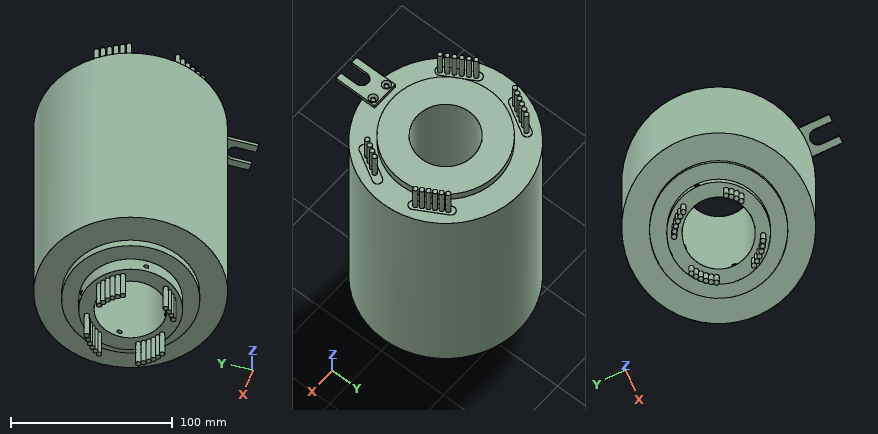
import cadquery as cq
import math

wire_top = 217.0
hub_bottom = 19.7
flange_bottom = 29.7
flange_top = 35.2
body_bottom = 36.5
body_top = 197.3
collar_top = 203.3

body_diameter = 120.0
body_radius = body_diameter / 2
collar_radius = 42.5
flange_radius = 42.7
neck_radius = 35.2
hub_radius = 32.1
bore_radius = 22.5

hub_hole_diameter = 3.0
hub_hole_height = 24.3

plate_width = 20.0
plate_back = -48.8
overall_depth = 140.0
plate_front = body_radius - overall_depth
plate_thickness = 2.8
fork_width = 10.0
fork_end = -62.5

screw_spacing = 12.8
screw_y = -53.0
sink_diameter = 6.3
sink_depth = 1.5
screw_hole_diameter = 3.3
screw_hole_depth = 0.9
drill_point_slope = 30

wire_diameter = 3.3
wire_overlap = 2.2
exit_radius = 49.3
exit_width = 6.5
exit_length = 30.2
exit_depth = 0.2
upper_rows = [
    (30, 6, 4.1, -0.2),
    (150, 6, 4.1, -0.5),
    (210, 6, 4.5, 0.7),
    (330, 4, 4.3, 0.2),
]

lower_wire_radius = 27.5
lower_wire_step = 7.0
lower_groups = [(45, 6), (135, 6), (225, 4), (315, 6)]


def disc(radius, bottom, top):
    return cq.Workplane("XY").workplane(offset=bottom).circle(radius).extrude(top - bottom)


def centred_steps(count, pitch):
    return [(i - (count - 1) / 2) * pitch for i in range(count)]


def wire(x, y, bottom, top):
    return disc(wire_diameter / 2, bottom, top).translate((x, y, 0))


def turned_parts():
    parts = disc(body_radius, body_bottom, body_top)
    parts = parts.union(disc(collar_radius, body_top, collar_top))
    parts = parts.union(disc(neck_radius, flange_top, body_bottom))
    parts = parts.union(disc(flange_radius, flange_bottom, flange_top))
    parts = parts.union(disc(hub_radius, hub_bottom, flange_bottom))
    return parts.cut(disc(bore_radius, hub_bottom, collar_top))


def hub_holes():
    """Two crossing drills give four radial holes in the hub wall."""
    along_y = (
        cq.Workplane("XZ")
        .center(0, hub_hole_height)
        .circle(hub_hole_diameter / 2)
        .extrude(hub_radius, both=True)
    )
    return along_y.union(along_y.rotate((0, 0, 0), (0, 0, 1), 90))


def fork_plate():
    plate_length = plate_back - plate_front
    plate = (
        cq.Workplane("XY")
        .workplane(offset=body_top)
        .center(0, (plate_back + plate_front) / 2)
        .rect(plate_width, plate_length)
        .extrude(plate_thickness)
    )
    fork_radius = fork_width / 2
    gap = (
        cq.Workplane("XY")
        .workplane(offset=body_top)
        .moveTo(-fork_radius, plate_front)
        .lineTo(-fork_radius, fork_end - fork_radius)
        .threePointArc((0, fork_end), (fork_radius, fork_end - fork_radius))
        .lineTo(fork_radius, plate_front)
        .close()
        .extrude(plate_thickness)
    )
    return plate.cut(gap)


def screw_hole(x):
    """Blind countersunk hole ending in a drill point."""
    hole_radius = screw_hole_diameter / 2
    sink_bottom = -sink_depth
    hole_bottom = sink_bottom - screw_hole_depth
    tip = hole_bottom - hole_radius * math.tan(math.radians(drill_point_slope))
    return (
        cq.Workplane("XZ")
        .moveTo(0, 0)
        .lineTo(sink_diameter / 2, 0)
        .lineTo(hole_radius, sink_bottom)
        .lineTo(hole_radius, hole_bottom)
        .lineTo(0, tip)
        .close()
        .revolve()
        .translate((x, screw_y, body_top + plate_thickness))
    )


def wire_exit(angle):
    return (
        cq.Workplane("XY")
        .workplane(offset=body_top - exit_depth)
        .center(exit_radius, 0)
        .slot2D(exit_length, exit_width, 90)
        .extrude(exit_depth)
        .rotate((0, 0, 0), (0, 0, 1), angle)
    )


def upper_row(angle, count, pitch, shift):
    row = cq.Workplane("XY")
    for step in centred_steps(count, pitch):
        row = row.union(wire(exit_radius, step + shift, body_top - wire_overlap, wire_top))
    return row.rotate((0, 0, 0), (0, 0, 1), angle)


def lower_group(angle, count):
    group = cq.Workplane("XY")
    for step in centred_steps(count, lower_wire_step):
        direction = math.radians(angle + step)
        x = lower_wire_radius * math.cos(direction)
        y = lower_wire_radius * math.sin(direction)
        group = group.union(wire(x, y, 0, hub_bottom + wire_overlap))
    return group


result = turned_parts().cut(hub_holes()).union(fork_plate())
for screw_x in centred_steps(2, screw_spacing):
    result = result.cut(screw_hole(screw_x))
for row_angle, wire_count, wire_pitch, row_shift in upper_rows:
    result = result.cut(wire_exit(row_angle))
    result = result.union(upper_row(row_angle, wire_count, wire_pitch, row_shift))
for group_angle, wire_count in lower_groups:
    result = result.union(lower_group(group_angle, wire_count))